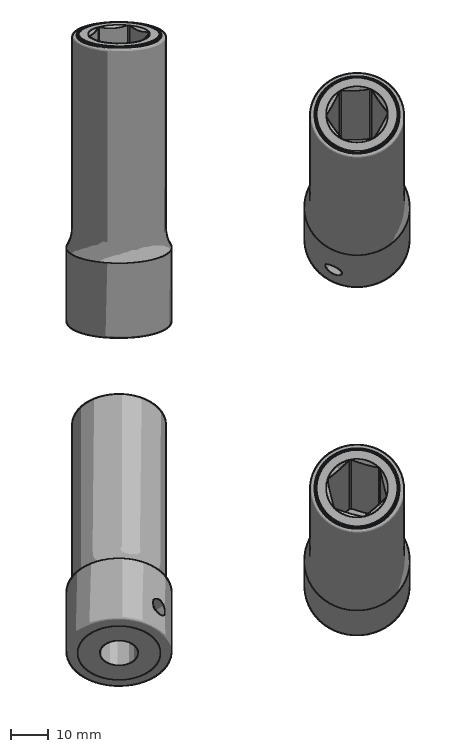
import cadquery as cq
import math

total_height = 80.3
base_diameter = 28.0
base_radius = base_diameter / 2
body_radius = 12.5

base_height = 21.0
flare_height = 5.3
bottom_fillet = 0.7
sleeve_top = 80.0
top_round = 0.7
sleeve_chamfer = 0.3
pin_hole_radius = 2.5
pin_hole_height = 8.35

core_radius = 11.0
core_chamfer = 0.3
bore_radius = 5.05
hex_flats = 14.3
hex_corner_radius = 8.1
hex_depth = 40.15
mouth_radius = 8.2
mouth_angle = 30.0


def make_sleeve():
    """Sleeve with a wide base flaring concavely into the slimmer body."""
    flare_top = base_height + flare_height
    flare_step = base_radius - body_radius
    flare_radius = (flare_height**2 + flare_step**2) / (2 * flare_step)
    half_sweep = math.asin(flare_height / flare_radius) / 2
    flare_mid = (
        body_radius + flare_radius * (1 - math.cos(half_sweep)),
        flare_top - flare_radius * math.sin(half_sweep),
    )
    profile = (
        cq.Workplane("XZ")
        .moveTo(core_radius, 0)
        .lineTo(base_radius, 0)
        .lineTo(base_radius, base_height)
        .threePointArc(flare_mid, (body_radius, flare_top))
        .lineTo(body_radius, sleeve_top)
        .lineTo(core_radius + sleeve_chamfer, sleeve_top)
        .lineTo(core_radius, sleeve_top - sleeve_chamfer)
        .close()
    )
    sleeve = profile.revolve(360, (0, 0, 0), (0, 1, 0))
    sleeve = sleeve.faces("<Z").edges(cq.selectors.RadiusNthSelector(-1)).fillet(bottom_fillet)
    sleeve = sleeve.faces(">Z").edges(cq.selectors.RadiusNthSelector(-1)).fillet(top_round)
    pin_hole = cq.Workplane("XZ").center(0, pin_hole_height).circle(pin_hole_radius).extrude(-base_radius)
    return sleeve.cut(pin_hole)


def make_hex_recess():
    """Hexagon with corners toward +Y and -Y, its corners trimmed by a cylinder."""
    floor_height = total_height - hex_depth
    hexagon = (
        cq.Workplane("XY", origin=(0, 0, floor_height))
        .polygon(6, hex_flats, circumscribed=True)
        .extrude(hex_depth)
    )
    trim = cq.Workplane("XY", origin=(0, 0, floor_height)).circle(hex_corner_radius).extrude(hex_depth)
    return hexagon.intersect(trim)


def make_mouth_cone():
    """Lead-in cone at the mouth of the hexagon."""
    cone_depth = mouth_radius * math.tan(math.radians(mouth_angle))
    return cq.Workplane(
        cq.Solid.makeCone(mouth_radius, 0, cone_depth, cq.Vector(0, 0, total_height), cq.Vector(0, 0, -1))
    )


def make_core():
    """Socket core with a through bore and a hexagonal recess at the top."""
    core = cq.Workplane("XY").circle(core_radius).extrude(total_height)
    core = core.faces(">Z").edges().chamfer(core_chamfer)
    bore = cq.Workplane("XY").circle(bore_radius).extrude(total_height)
    return core.cut(bore).cut(make_hex_recess()).cut(make_mouth_cone())


sleeve = make_sleeve()
core = make_core()
result = cq.Compound.makeCompound([sleeve.val(), core.val()])